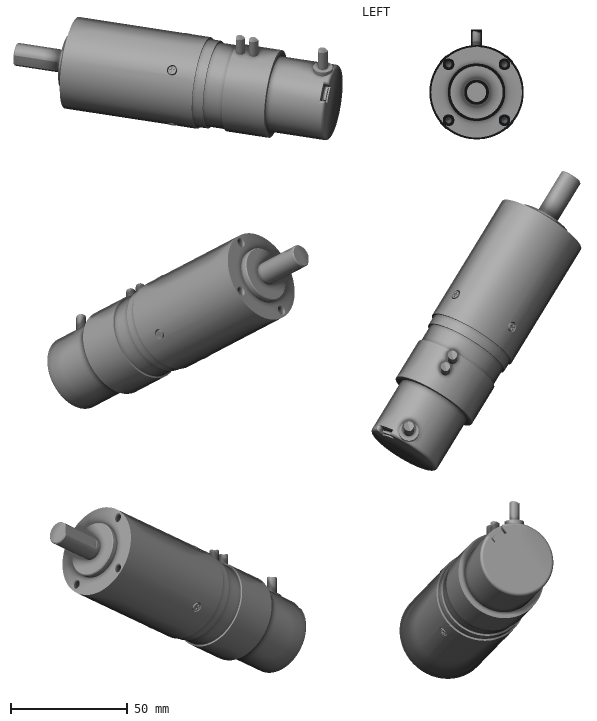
import cadquery as cq
import math

shaft_tip_x = 0.0
pilot_x = 22.0
gearbox_x = 25.0
adapter_x = 83.9
neck_x = 88.5
motor_x = 97.0
rear_housing_x = 115.9
rear_x = 141.7

shaft_r = 5.0
pilot_r = 12.0
gearbox_r = 20.0
adapter_r = 19.1
neck_r = 18.3
motor_r = 19.1
rear_housing_r = 16.5

edge_chamfer = 0.4
rear_fillet = 1.3

flat_length = 19.8
flat_depth = 0.5

mount_offset = 12.0
mount_hole_r = 1.7
mount_hole_depth = 8.5
mount_tip_angle = 118.0
mount_countersink = 0.4

screw_x = 73.5
screw_pocket_r = 2.3
screw_pocket_depth = 2.1
screw_head_r = 1.7
screw_head_height = 2.3
screw_slot_width = 0.7
screw_slot_length = 2.5
screw_slot_depth = 0.5

lead_top_z = 26.8
motor_lead_r = 2.0
motor_lead_xs = (100.2, 106.1)
encoder_lead_x = 137.0
encoder_lead_r = 2.1
lead_groove_depth = 0.7
lead_groove_angle = 45.0
grommet_r = 4.3
grommet_top_z = 17.9

window_x = 139.3
window_width = 10.0
window_angle = 40.0
pocket_width = 7.4
pocket_floor_r = 12.2
plug_x = 140.3
plug_length = 0.9
plug_width = 5.7
plug_r = 13.9


def section(start_x, end_x, radius):
    """Cylinder along X between two stations."""
    return cq.Workplane("YZ").workplane(offset=start_x).circle(radius).extrude(end_x - start_x)


def around_axis(shape, angle):
    """Turn a shape about the motor axis; positive angles lean +Z towards -Y."""
    return shape.rotate((0, 0, 0), (1, 0, 0), angle)


def turned_body():
    shaft = section(shaft_tip_x, pilot_x, shaft_r).faces("<X").chamfer(edge_chamfer)
    flat = cq.Workplane("XY").box(flat_length, flat_depth, 2 * shaft_r, centered=(False, False, True))
    shaft = shaft.cut(flat.translate((shaft_tip_x, -shaft_r, 0)))
    pilot = section(pilot_x, gearbox_x, pilot_r).faces("<X").chamfer(edge_chamfer)
    rear = section(rear_housing_x, rear_x, rear_housing_r).faces(">X").edges().fillet(rear_fillet)
    body = shaft.union(pilot).union(rear)
    for start_x, end_x, radius in (
        (gearbox_x, adapter_x, gearbox_r),
        (adapter_x, neck_x, adapter_r),
        (neck_x, motor_x, neck_r),
        (motor_x, rear_housing_x, motor_r),
    ):
        body = body.union(section(start_x, end_x, radius))
    return body


def mounting_hole(y, z):
    tip_length = mount_hole_r / math.tan(math.radians(mount_tip_angle / 2))
    mouth_r = mount_hole_r + mount_countersink
    profile = [
        (0, 0),
        (0, mouth_r),
        (mount_countersink, mount_hole_r),
        (mount_hole_depth, mount_hole_r),
        (mount_hole_depth + tip_length, 0),
    ]
    hole = cq.Workplane("XY").polyline(profile).close().revolve(360, (0, 0, 0), (1, 0, 0))
    return hole.translate((gearbox_x, y, z))


def screw_pocket(angle):
    pocket = cq.Workplane("XY").circle(screw_pocket_r).extrude(2 * screw_pocket_depth)
    return around_axis(pocket.translate((screw_x, 0, gearbox_r - screw_pocket_depth)), angle)


def screw_head(angle):
    head = cq.Workplane("XY").circle(screw_head_r).extrude(screw_head_height)
    cross = (
        cq.Workplane("XY")
        .workplane(offset=screw_head_height - screw_slot_depth)
        .rect(screw_slot_length, screw_slot_width)
        .extrude(screw_slot_depth)
    )
    cross = cross.union(cross.rotate((0, 0, 0), (0, 0, 1), 90))
    head = head.cut(cross)
    return around_axis(head.translate((screw_x, 0, gearbox_r - screw_pocket_depth)), angle)


def lead(x, radius):
    post = cq.Workplane("XY").circle(radius).extrude(lead_top_z)
    groove = (
        cq.Workplane("YZ")
        .polyline([(-radius, 0), (0, -lead_groove_depth), (radius, 0)])
        .close()
        .extrude(radius, both=True)
        .rotate((0, 0, 0), (0, 0, 1), lead_groove_angle)
        .translate((0, 0, lead_top_z))
    )
    return post.cut(groove).translate((x, 0, 0))


def connector_window():
    half_mouth = window_width / 2
    half_pocket = pocket_width / 2
    lip_r = half_mouth - half_pocket
    lip_mid = half_mouth - lip_r * math.sin(math.radians(45))
    floor_edge_z = math.sqrt(pocket_floor_r**2 - half_pocket**2)
    rim_z = math.sqrt(rear_housing_r**2 - half_mouth**2)
    lip_mid_z = rim_z - lip_r + lip_r * math.cos(math.radians(45))
    window = (
        cq.Workplane("YZ")
        .moveTo(half_mouth, rear_housing_r)
        .lineTo(half_mouth, rim_z)
        .threePointArc((lip_mid, lip_mid_z), (half_pocket, rim_z - lip_r))
        .lineTo(half_pocket, floor_edge_z)
        .threePointArc((0, pocket_floor_r), (-half_pocket, floor_edge_z))
        .lineTo(-half_pocket, rim_z - lip_r)
        .threePointArc((-lip_mid, lip_mid_z), (-half_mouth, rim_z))
        .lineTo(-half_mouth, rear_housing_r)
        .close()
        .extrude(rear_x - window_x)
        .translate((window_x, 0, 0))
    )
    return around_axis(window, window_angle)


def connector_plug():
    disc = section(plug_x, plug_x + plug_length, plug_r)
    strip = cq.Workplane("XY").box(rear_x, plug_width, plug_r, centered=(False, True, False))
    return around_axis(disc.intersect(strip), window_angle)


result = turned_body()

for y in (-mount_offset, mount_offset):
    for z in (-mount_offset, mount_offset):
        result = result.cut(mounting_hole(y, z))

for angle in (45, 135, 225, 315):
    result = result.cut(screw_pocket(angle)).union(screw_head(angle))

for x in motor_lead_xs:
    result = result.union(lead(x, motor_lead_r))

grommet = cq.Workplane("XY").center(encoder_lead_x, 0).circle(grommet_r).extrude(grommet_top_z)
result = result.union(grommet).union(lead(encoder_lead_x, encoder_lead_r))

result = result.cut(connector_window()).union(connector_plug())